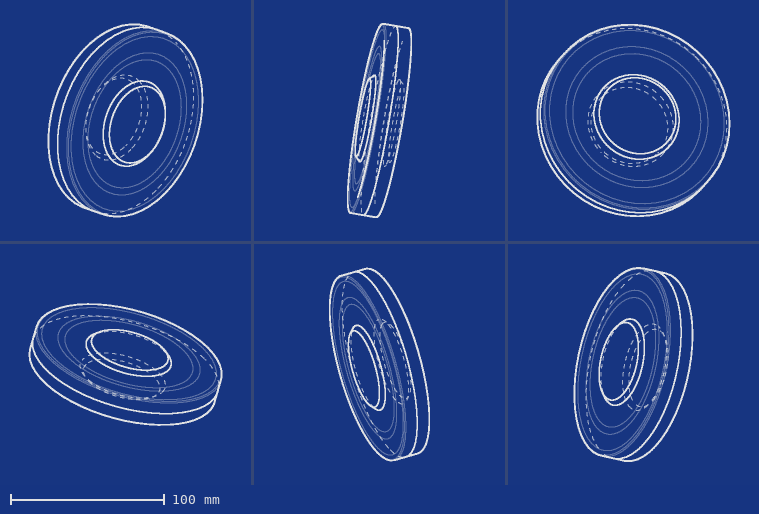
import cadquery as cq

outer_diameter = 125.0
overall_width = 22.0
rim_width = 17.9

rim_edge_diameter = 123.5

dish_diameter = 117.2
dish_depth = 0.56
web_depth = 0.81
step_outer_diameter = 95.5
step_inner_diameter = 86.0

hub_face_diameter = 51.5

outer_radius = outer_diameter / 2
rim_edge_radius = rim_edge_diameter / 2
rim_round_radius = outer_radius - rim_edge_radius
rim_face_x = rim_width / 2
dish_x = rim_face_x - dish_depth
web_x = rim_face_x - web_depth
hub_face_x = overall_width / 2
hub_face_radius = hub_face_diameter / 2
hub_base_radius = hub_face_radius + hub_face_x - web_x


def make_wheel_half(side):
    """Revolve one half of the wheel; side is +1 for the +X half, -1 for the -X half."""
    half = (
        cq.Workplane("XY")
        .moveTo(0, 0)
        .lineTo(0, outer_radius)
        .lineTo(rim_face_x - rim_round_radius, outer_radius)
        .radiusArc((rim_face_x, rim_edge_radius), rim_round_radius)
        .lineTo(dish_x, dish_diameter / 2)
        .lineTo(dish_x, step_outer_diameter / 2)
        .lineTo(web_x, step_inner_diameter / 2)
        .lineTo(web_x, hub_base_radius)
        .lineTo(hub_face_x, hub_face_radius)
        .lineTo(hub_face_x, 0)
        .close()
        .revolve(360, (0, 0, 0), (1, 0, 0))
    )
    if side < 0:
        half = half.mirror("YZ")
    return half


wheel_halves = [make_wheel_half(side) for side in (-1, 1)]

result = cq.Compound.makeCompound([half.val() for half in wheel_halves])